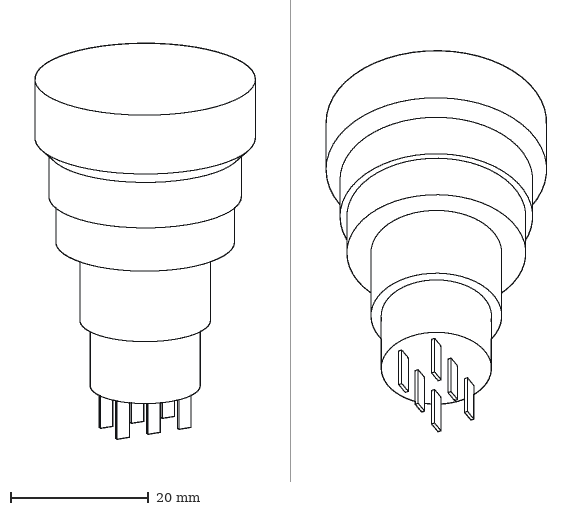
import cadquery as cq

body_steps = [
    (16.0, 10.0),
    (19.0, 12.0),
    (26.0, 7.0),
    (28.0, 7.0),
]

cap_diameter = 32.0
flare_height = 2.0
rim_height = 9.05
dome_height = 1.95

total_height = 55.4
pin_thickness = 0.5
pin_width = 2.0
pin_row_spacing = 5.45
pin_pitch = 5.0
pins_per_row = 3

cap_radius = cap_diameter / 2
body_height = sum(length for _, length in body_steps)
pin_length = total_height - body_height - flare_height - rim_height - dome_height


def make_body():
    """Stepped body and domed cap as one revolved half profile, with the base at Z = 0."""
    profile = cq.Workplane("XZ").moveTo(0, 0)
    level = 0
    for diameter, length in body_steps:
        profile = profile.lineTo(diameter / 2, level)
        level += length
        profile = profile.lineTo(diameter / 2, level)

    flare_top = level + flare_height
    rim_top = flare_top + rim_height
    dome_top = rim_top + dome_height
    profile = profile.lineTo(cap_radius, flare_top).lineTo(cap_radius, rim_top)

    dome_radius = (cap_radius**2 + dome_height**2) / (2 * dome_height)
    middle_x = cap_radius / 2
    middle_z = dome_top - dome_radius + (dome_radius**2 - middle_x**2) ** 0.5
    profile = profile.threePointArc((middle_x, middle_z), (0, dome_top))
    return profile.close().revolve(360, (0, 0, 0), (0, 1, 0))


def make_pins():
    """Terminal pins hanging down from the base."""
    return (
        cq.Workplane("XY")
        .rarray(pin_row_spacing, pin_pitch, 2, pins_per_row)
        .rect(pin_thickness, pin_width)
        .extrude(-pin_length)
    )


result = make_body().union(make_pins())